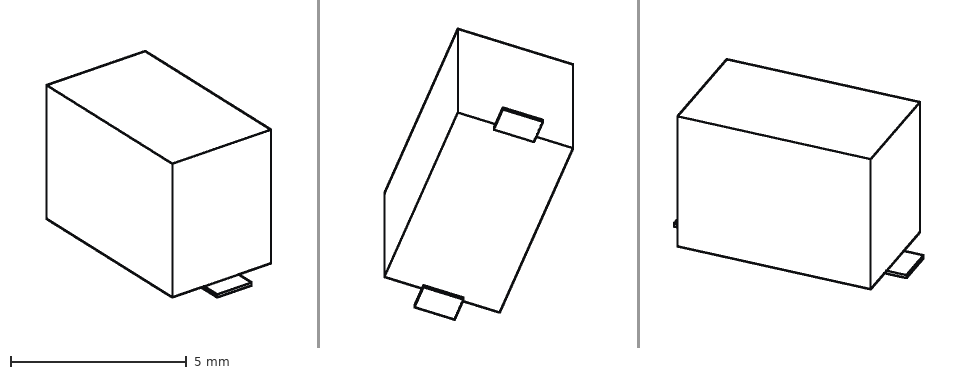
import cadquery as cq

overall_length = 7.22
overall_height = 4.4

terminal_length = 0.74
terminal_width = 1.22
terminal_thickness = 0.1

housing_length = 6.0
housing_width = 3.5
housing_height = overall_height - terminal_thickness


def make_housing():
    """Plain block whose underside sits on top of the terminals."""
    return (
        cq.Workplane("XY")
        .workplane(offset=terminal_thickness)
        .rect(housing_length, housing_width)
        .extrude(housing_height)
    )


def make_terminal(side):
    """Flat strip at the -X (side = -1) or +X (side = 1) end."""
    center_x = side * (overall_length - terminal_length) / 2
    return (
        cq.Workplane("XY")
        .center(center_x, 0)
        .rect(terminal_length, terminal_width)
        .extrude(terminal_thickness)
    )


housing = make_housing()
terminals = [make_terminal(side) for side in (-1, 1)]

result = cq.Compound.makeCompound(
    [housing.val(), *[terminal.val() for terminal in terminals]]
)